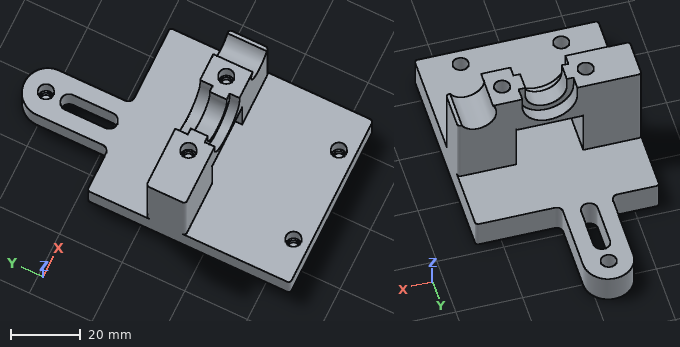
import cadquery as cq

plate_width = 55.0
plate_depth = 64.9
plate_thickness = 9.0
corner_radius = 1.0
total_length = 95.5
total_height = 37.0

tongue_width = 15.0
tongue_x = -5.5
tongue_root_radius = 1.9
tongue_hole_y = 88.6
slot_width = 5.0
slot_front = 65.9
slot_back = 83.8

wall_front = 33.4
wall_back = 46.0
window_width = 20.0
window_top = 24.1

bore_z = 33.8
throat_diameter = 12.4
recess_diameter = 16.4
front_recess_depth = 3.15
back_recess_depth = 4.0

side_bore_x = 21.5
side_bore_diameter = 11.0
side_lip_z = 31.1

hole_diameter = 4.7
hole_depth = 6.0
pilot_diameter = 3.5
pilot_depth = 8.0
plate_hole_spacing = 30.1
plate_hole_y = 5.0
wall_hole_spacing = 25.0
wall_hole_y = (wall_front + wall_back) / 2


def box(x_min, x_max, y_min, y_max, z_min, z_max):
    """Box between the given limits."""
    size = (x_max - x_min, y_max - y_min, z_max - z_min)
    return cq.Workplane("XY").box(*size, centered=False).translate((x_min, y_min, z_min))


def bore(diameter, x, y_min, y_max):
    """Cylinder along Y at the bore height."""
    plane = cq.Workplane("XZ", origin=(x, y_min, bore_z))
    return plane.circle(diameter / 2).extrude(y_min - y_max)


def saddle_cut(diameter, y_min, y_max):
    """Round-bottomed channel, open at the top of the wall."""
    radius = diameter / 2
    opening = box(-radius, radius, y_min, y_max, bore_z, total_height)
    return bore(diameter, 0, y_min, y_max).union(opening)


def stepped_hole(x, y, top):
    """Blind hole narrowing to a pilot diameter, sunk from the given height."""
    plane = cq.Workplane("XY", origin=(x, y, top))
    wide = plane.circle(hole_diameter / 2).extrude(-hole_depth)
    return wide.union(plane.circle(pilot_diameter / 2).extrude(-pilot_depth))


def make_base():
    """Plate and round-ended tongue, blended at the tongue root."""
    half_width = plate_width / 2
    tongue_radius = tongue_width / 2
    tongue_centre_y = total_length - tongue_radius
    plate = box(-half_width, half_width, 0, plate_depth, 0, plate_thickness)
    plate = plate.edges("|Z").fillet(corner_radius)
    tongue = (
        cq.Workplane("XY")
        .moveTo(tongue_x - tongue_radius, wall_back)
        .lineTo(tongue_x - tongue_radius, tongue_centre_y)
        .threePointArc((tongue_x, total_length), (tongue_x + tongue_radius, tongue_centre_y))
        .lineTo(tongue_x + tongue_radius, wall_back)
        .close()
        .extrude(plate_thickness)
    )
    base = plate.union(tongue)
    for side in (-1, 1):
        root = (tongue_x + side * tongue_radius, plate_depth, plate_thickness / 2)
        base = base.edges(cq.NearestToPointSelector(root)).fillet(tongue_root_radius)
    slot_length = slot_back - slot_front
    slot = (
        cq.Workplane("XY", origin=(tongue_x, (slot_front + slot_back) / 2, 0))
        .slot2D(slot_length, slot_width, 90)
        .extrude(plate_thickness)
    )
    return base.cut(slot)


def make_wall():
    """Upright wall with its window, saddle and open side bore."""
    half_width = plate_width / 2
    half_window = window_width / 2
    wall = box(-half_width, half_width, wall_front, wall_back, 0, total_height)
    wall = wall.edges("|Z").fillet(corner_radius)
    wall = wall.cut(box(-half_window, half_window, wall_front, wall_back, plate_thickness, window_top))
    wall = wall.cut(saddle_cut(throat_diameter, wall_front, wall_back))
    wall = wall.cut(saddle_cut(recess_diameter, wall_front, wall_front + front_recess_depth))
    wall = wall.cut(saddle_cut(recess_diameter, wall_back - back_recess_depth, wall_back))
    wall = wall.cut(bore(side_bore_diameter, side_bore_x, wall_front, wall_back))
    return wall.cut(box(side_bore_x, half_width, wall_front, wall_back, side_lip_z, total_height))


result = make_base().union(make_wall())
for side in (-1, 1):
    result = result.cut(stepped_hole(side * plate_hole_spacing / 2, plate_hole_y, plate_thickness))
    result = result.cut(stepped_hole(side * wall_hole_spacing / 2, wall_hole_y, total_height))
result = result.cut(stepped_hole(tongue_x, tongue_hole_y, plate_thickness))